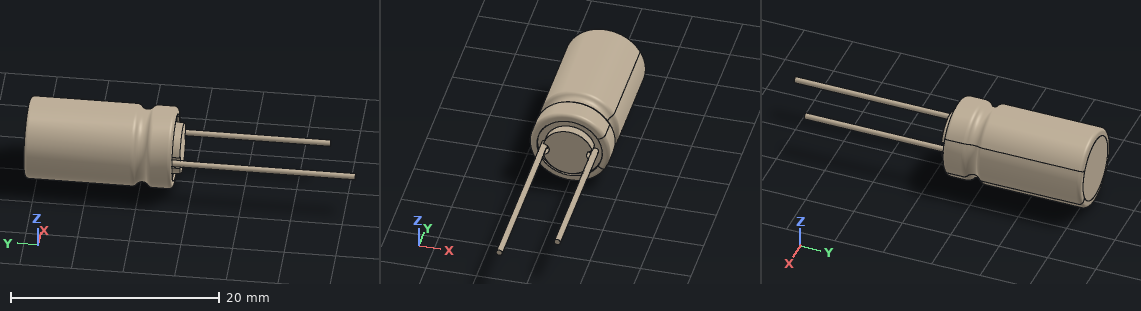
import cadquery as cq
import math


outer_radius = 4.0
core_radius = 3.23
sleeve_length = 14.3
rim_fillet = 0.4

groove_center = 2.98
groove_depth = 0.48
groove_half_width = 1.0
hollow_half_width = 0.58

stripe_angle = 60

overall_length = 32
boss_radius = 2.5
boss_projection = 0.67
face_recess = 0.25
notch_radius = 0.65
lead_radius = 0.32
lead_offset = 2.5
long_lead_reach = overall_length - sleeve_length
short_lead_reach = 14.7


def cylinder(radius, start_y, length, x=0):
    """Cylinder along +Y from start_y."""
    return cq.Workplane(cq.Solid.makeCylinder(radius, length, cq.Vector(x, start_y, 0), cq.Vector(0, 1, 0)))


def make_groove_cutter():
    """Ring that removes the crimp groove from the sleeve."""
    half_angle = math.atan(groove_depth / groove_half_width)
    turn_angle = 2 * half_angle
    shoulder_width = groove_half_width - hollow_half_width
    shoulder_radius = shoulder_width / math.sin(turn_angle)
    join_radius = outer_radius - shoulder_width * math.tan(half_angle)
    shoulder_mid_y = shoulder_radius * math.sin(half_angle)
    shoulder_mid_radius = outer_radius - shoulder_radius * (1 - math.cos(half_angle))
    floor_radius = outer_radius - groove_depth

    front_y = groove_center - groove_half_width
    back_y = groove_center + groove_half_width
    return (
        cq.Workplane("XY")
        .moveTo(outer_radius, front_y)
        .threePointArc(
            (shoulder_mid_radius, front_y + shoulder_mid_y),
            (join_radius, groove_center - hollow_half_width),
        )
        .threePointArc(
            (floor_radius, groove_center),
            (join_radius, groove_center + hollow_half_width),
        )
        .threePointArc((shoulder_mid_radius, back_y - shoulder_mid_y), (outer_radius, back_y))
        .close()
        .revolve(360, (0, 0, 0), (0, 1, 0))
    )


def make_full_sleeve():
    """Complete grooved tube, before the stripe is separated from it."""
    barrel = cylinder(outer_radius, 0, sleeve_length).edges().fillet(rim_fillet)
    return barrel.cut(make_groove_cutter()).cut(cylinder(core_radius, 0, sleeve_length))


def make_stripe_wedge():
    """Triangular prism whose point lies on the axis and which opens towards +X."""
    reach = 2 * outer_radius
    half_opening = reach * math.tan(math.radians(stripe_angle / 2))
    return (
        cq.Workplane("XZ")
        .polyline([(0, 0), (reach, -half_opening), (reach, half_opening)])
        .close()
        .extrude(-sleeve_length)
    )


def make_core():
    """Core filling the sleeve, with a boss notched around both leads."""
    boss_height = boss_projection + face_recess
    boss = cylinder(boss_radius, -boss_projection, boss_height)
    for x in (-lead_offset, lead_offset):
        boss = boss.cut(cylinder(notch_radius, -boss_projection, boss_height, x))
    return cylinder(core_radius, face_recess, sleeve_length - face_recess).union(boss)


def make_lead(x, reach):
    """Round lead from the recessed core face to a distance reach beyond the sleeve mouth."""
    return cylinder(lead_radius, -reach, reach + face_recess, x)


full_sleeve = make_full_sleeve()
stripe_wedge = make_stripe_wedge()
sleeve = full_sleeve.cut(stripe_wedge)
stripe = full_sleeve.intersect(stripe_wedge)
core = make_core()

lead_layout = [(-lead_offset, long_lead_reach), (lead_offset, short_lead_reach)]
leads = [make_lead(x, reach).val() for x, reach in lead_layout]

bodies = [body.solids().val() for body in (sleeve, stripe, core)]
result = cq.Compound.makeCompound([*bodies, *leads])